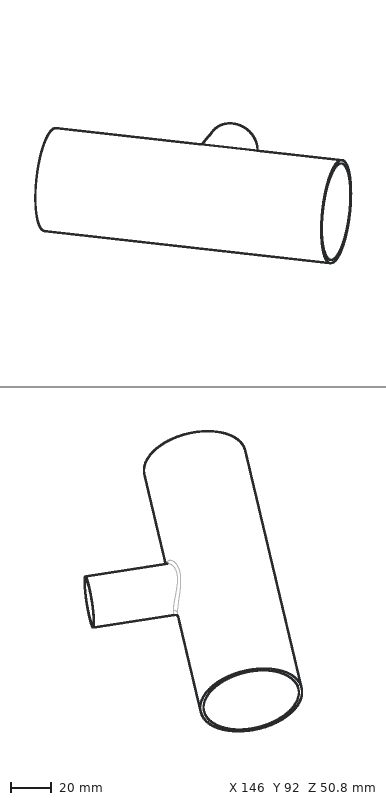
import cadquery as cq

run_length = 146.0
run_outer_diameter = 50.8
run_bore_diameter = 47.5
branch_outer_diameter = 25.4
branch_bore_diameter = 22.0
branch_reach = 66.6
joint_fillet = 1.8


def run_cylinder(diameter):
    """Cylinder along X, centred on the origin."""
    return cq.Workplane("YZ").circle(diameter / 2).extrude(run_length / 2, both=True)


def branch_cylinder(diameter):
    """Cylinder along +Y, from the run axis to the open end of the branch."""
    return cq.Workplane("XZ").circle(diameter / 2).extrude(-branch_reach)


def outer_tee():
    """Solid tee with a fillet where the branch meets the run."""
    tee = run_cylinder(run_outer_diameter).union(branch_cylinder(branch_outer_diameter))
    root_depth = run_outer_diameter / 2
    root_box = cq.selectors.BoxSelector(
        (-branch_outer_diameter, 0, -branch_outer_diameter),
        (branch_outer_diameter, root_depth + joint_fillet, branch_outer_diameter),
    )
    return tee.edges(root_box).fillet(joint_fillet)


result = (
    outer_tee()
    .cut(run_cylinder(run_bore_diameter))
    .cut(branch_cylinder(branch_bore_diameter))
)